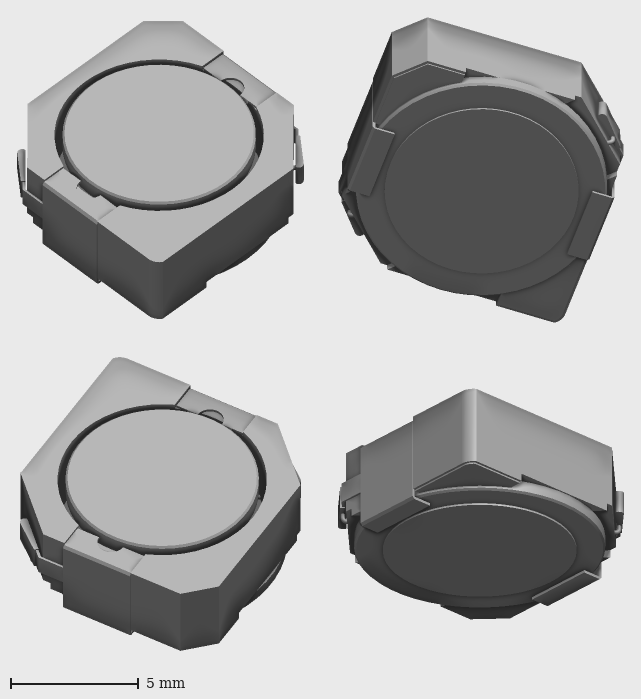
import cadquery as cq
import math


shield_centre_x = 0.075
shield_width = 9.79
shield_depth = 10.0
shield_bottom = 0.4
shield_top = 3.61
shield_bore_radius = 4.09
terminal_corner_leg = 2.54
small_corner_leg = 1.1
round_corner_length = 0.51
round_corner_rise = 0.28
ledge_inset = 0.11
ledge_height = 0.06

flange_radius = 4.91
flange_bottom = 0.19
flange_top = 0.71
flange_flat_y = 4.85
flange_chamfer = 0.08
foot_radius = 3.79
foot_bottom = 0.11
column_radius = 2.4
cap_radius = 3.78
cap_bottom = 3.0
cap_top = 3.72
cap_chamfer = 0.08

flange_clearance = 0.03
notch_end_y = 2.32
channel_half_width = 1.93
channel_shift = 0.06
channel_top = 1.03

sheet = 0.11
terminal_half_width = 1.51
terminal_gap = 0.03
tab_depth_below_shield_top = 0.1
tab_end_y = 3.85
tab_notch_radius = 0.54
lip_half_width = 1.01
lip_length = 0.09
sole_end_y = 4.09
bend_chamfer = 0.1
arm_setback = 0.02
arm_middle_z = 1.89
arm_height = 0.82
clamp_height = 0.93
clamp_gap = 0.07
clamp_near_end = -1.19
clamp_far_end = 0.55
clamp_near_thickness = 0.18
clamp_far_thickness = 0.35
clamp_inner_rounding = 0.11
clamp_outer_rounding = 0.2

wire_radius = 0.09
wire_z = 1.13
wire_top = 1.8
wire_bend_radius = 0.15
wire_clamp_point = (-0.65, 0.17)
wire_bore_point = (-0.28, -1.17)

half_depth = shield_depth / 2
shield_left = shield_centre_x - shield_width / 2
recess_y = half_depth - sheet
terminal_left = shield_centre_x - terminal_half_width
recess_right = shield_centre_x + terminal_half_width + terminal_gap
tab_top = shield_top - tab_depth_below_shield_top
tab_bottom = tab_top - sheet
overshoot = 2.0

diagonal = math.sqrt(0.5)
corner_middle_x = shield_left + terminal_corner_leg / 2
corner_middle_y = -half_depth + terminal_corner_leg / 2


def corner_plane(z):
    return cq.Plane(origin=(corner_middle_x, corner_middle_y, z), xDir=(-1, 1, 0), normal=(0, 0, 1))


def corner_point(along, outward):
    x = corner_middle_x - (along + outward) * diagonal
    y = corner_middle_y + (along - outward) * diagonal
    return (x, y)


def box(x_range, y_range, z_range):
    size = [high - low for low, high in (x_range, y_range, z_range)]
    low_corner = (x_range[0], y_range[0], z_range[0])
    return cq.Workplane("XY").box(*size, centered=False).translate(low_corner)


def cylinder(radius, z_low, z_high):
    return cq.Workplane("XY").workplane(offset=z_low).circle(radius).extrude(z_high - z_low)


def half_turn(shape):
    """The same shape on the opposite side of the shield."""
    return shape.rotate((shield_centre_x, 0, 0), (shield_centre_x, 0, 1), 180)


def make_core():
    flange = cylinder(flange_radius, flange_bottom, flange_top).faces("<Z").chamfer(flange_chamfer)
    flange = flange.intersect(
        box(
            (-flange_radius, flange_radius),
            (-flange_flat_y, flange_flat_y),
            (flange_bottom, flange_top),
        )
    )
    foot = cylinder(foot_radius, foot_bottom, flange_bottom)
    column = cylinder(column_radius, flange_top, cap_bottom)
    cap = cylinder(cap_radius, cap_bottom, cap_top).faces(">Z").chamfer(cap_chamfer)
    return flange.union(foot).union(column).union(cap)


def shield_block(inset, z_low, z_high):
    """The filled outline of the shield, drawn in by the inset."""
    right = shield_left + shield_width
    outline = (
        cq.Workplane("XY")
        .workplane(offset=z_low)
        .moveTo(shield_left + terminal_corner_leg, -half_depth)
        .lineTo(right - round_corner_length, -half_depth)
        .tangentArcPoint((right, -half_depth + round_corner_rise), relative=False)
        .lineTo(right, half_depth - terminal_corner_leg)
        .lineTo(right - terminal_corner_leg, half_depth)
        .lineTo(shield_left + small_corner_leg, half_depth)
        .lineTo(shield_left, half_depth - small_corner_leg)
        .lineTo(shield_left, -half_depth + terminal_corner_leg)
        .close()
    )
    if inset:
        outline = outline.offset2D(-inset)
    return outline.extrude(z_high - z_low)


def terminal_recess():
    """Room for one terminal, its arm and its tab."""
    side = box(
        (shield_left, recess_right),
        (-half_depth - overshoot, -recess_y),
        (0, shield_top),
    )
    top = box(
        (terminal_left, recess_right),
        (-half_depth, 0),
        (tab_bottom, shield_top),
    )
    return side.union(top)


def corner_openings():
    """The low notch beside the flange and the higher channel through the cut corner."""
    notch = box(
        (shield_left - overshoot, recess_right),
        (-half_depth - overshoot, notch_end_y),
        (0, flange_top),
    )
    channel = (
        cq.Workplane(corner_plane(0))
        .center(channel_shift, 0)
        .rect(2 * channel_half_width, 2 * overshoot)
        .extrude(channel_top)
    )
    return notch.union(channel)


def make_shield(wires):
    shield = shield_block(0, shield_bottom, shield_top)
    ledge = shield_block(ledge_inset, shield_bottom - ledge_height, shield_bottom)
    shield = shield.union(ledge)
    shield = shield.cut(cylinder(shield_bore_radius, 0, shield_top))
    shield = shield.cut(cylinder(flange_radius + flange_clearance, 0, flange_top))
    for cutter in (terminal_recess(), corner_openings()):
        shield = shield.cut(cutter).cut(half_turn(cutter))
    for wire in wires:
        shield = shield.cut(wire)
    return shield


def make_wire():
    """A round wire that runs level through the shield, then bends straight up."""
    bore_x, bore_y = corner_point(*wire_bore_point)
    clamp_x, clamp_y = corner_point(*wire_clamp_point)
    run = math.hypot(clamp_x - bore_x, clamp_y - bore_y)
    direction = cq.Vector((clamp_x - bore_x) / run, (clamp_y - bore_y) / run, 0)
    upright = cq.Plane(
        origin=(bore_x, bore_y, wire_z),
        xDir=direction,
        normal=direction.cross(cq.Vector(0, 0, 1)),
    )
    path = (
        cq.Workplane(upright)
        .lineTo(run - wire_bend_radius, 0)
        .tangentArcPoint((run, wire_bend_radius), relative=False)
        .lineTo(run, wire_top - wire_z)
    )
    start = cq.Plane(origin=(bore_x, bore_y, wire_z), xDir=(0, 0, 1), normal=direction)
    return cq.Workplane(start).circle(wire_radius).sweep(path)


def terminal_strip():
    """The bent strip: tab on the shield, side wall and sole."""
    strip = (
        cq.Workplane("YZ")
        .workplane(offset=terminal_left)
        .moveTo(-tab_end_y, tab_top)
        .lineTo(-half_depth, tab_top)
        .lineTo(-half_depth, 0)
        .lineTo(-sole_end_y, 0)
        .lineTo(-sole_end_y, sheet)
        .lineTo(-recess_y, sheet)
        .lineTo(-recess_y, tab_bottom)
        .lineTo(-tab_end_y, tab_bottom)
        .close()
        .extrude(2 * terminal_half_width)
    )
    strip = strip.edges("|X and <Y").chamfer(bend_chamfer)
    lip = (
        cq.Workplane("YZ")
        .workplane(offset=shield_centre_x - lip_half_width)
        .moveTo(-tab_end_y, tab_top)
        .lineTo(-tab_end_y + lip_length, tab_bottom)
        .lineTo(-tab_end_y, tab_bottom)
        .close()
        .extrude(2 * lip_half_width)
    )
    notch = cylinder(tab_notch_radius, tab_bottom, tab_top).translate((shield_centre_x, -tab_end_y, 0))
    return strip.union(lip).cut(notch)


def terminal_arm():
    """The arm along the side and the cut corner, as far as the clamp."""
    def bend_point(outward, y):
        corner_x, corner_y = corner_point(0, outward)
        return (corner_x + corner_y - y, y)

    outer = clamp_gap + sheet
    arm_y = -half_depth + arm_setback
    return (
        cq.Workplane("XY")
        .workplane(offset=arm_middle_z - arm_height / 2)
        .polyline([
            (terminal_left, arm_y),
            bend_point(outer, arm_y),
            corner_point(clamp_near_end, outer),
            corner_point(clamp_near_end, clamp_gap),
            bend_point(clamp_gap, -recess_y),
            (terminal_left, -recess_y),
        ])
        .close()
        .extrude(arm_height)
    )


def wire_clamp():
    """The folded end of the arm, pressed flat around the wire."""
    return (
        cq.Workplane(corner_plane(arm_middle_z - clamp_height / 2))
        .moveTo(clamp_near_end, clamp_gap)
        .lineTo(clamp_far_end, clamp_gap)
        .lineTo(clamp_far_end, clamp_gap + clamp_far_thickness)
        .lineTo(clamp_near_end, clamp_gap + clamp_near_thickness)
        .close()
        .extrude(clamp_height)
        .edges("|Z and >Y")
        .fillet(clamp_inner_rounding)
        .edges("|Z and <X")
        .fillet(clamp_outer_rounding)
    )


def make_terminal(wire):
    return terminal_strip().union(terminal_arm()).union(wire_clamp()).cut(wire)


core = make_core()
first_wire = make_wire()
wires = [first_wire, half_turn(first_wire)]
first_terminal = make_terminal(first_wire)
terminals = [first_terminal, half_turn(first_terminal)]
shield = make_shield(wires)

result = cq.Compound.makeCompound(
    [body.val() for body in [core, shield, *terminals, *wires]]
)